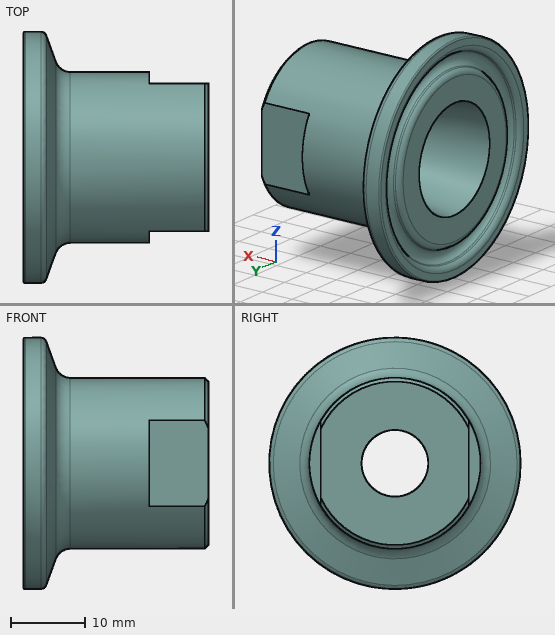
import cadquery as cq
import math

length = 25.0
flange_radius = 17.0
body_radius = 11.55
rim_corner_x = 2.9
slope_angle = 20.0
front_edge_radius = 0.2
rim_fillet = 0.8
neck_fillet = 2.0
end_chamfer = 0.5

flat_length = 8.0
flat_half_width = 10.0

bore_front_radius = 8.02
bore_end_radius = 4.5

groove_radius = 13.75
groove_half_width = 2.0
groove_depth = 1.6
lip_radius = 0.95
wall_angle = 70.0


def revolve_about_x(profile):
    return profile.close().revolve(360, (0, 0, 0), (1, 0, 0))


def make_body():
    neck_x = rim_corner_x + (flange_radius - body_radius) * math.tan(math.radians(slope_angle))
    profile = (
        cq.Workplane("XY")
        .lineTo(0, flange_radius)
        .lineTo(rim_corner_x, flange_radius)
        .lineTo(neck_x, body_radius)
        .lineTo(length, body_radius)
        .lineTo(length, 0)
    )
    body = revolve_about_x(profile)
    body = body.edges(cq.selectors.RadiusNthSelector(-1)).edges("<X").fillet(front_edge_radius)
    body = body.edges(cq.selectors.RadiusNthSelector(-1)).edges(">X").fillet(rim_fillet)
    body = body.edges(
        cq.selectors.BoxSelector((neck_x - 0.35, -flange_radius, -flange_radius),
                                 (neck_x + 0.35, flange_radius, flange_radius))
    ).edges("%CIRCLE").fillet(neck_fillet)
    return body.faces(">X").edges().chamfer(end_chamfer)


def make_groove():
    """Ring with rounded lips, straight walls and a circular floor, all tangent."""
    angle = math.radians(wall_angle)
    sine = math.sin(angle)
    cosine = math.cos(angle)
    radius_sum = (groove_half_width * sine - groove_depth * cosine) / (1 - cosine)
    floor_radius = radius_sum - lip_radius
    floor_x = groove_depth - floor_radius
    lip_offset = groove_half_width - lip_radius * sine
    lip_x = lip_radius * (1 - cosine)
    wall_offset = floor_radius * sine
    wall_x = floor_x + floor_radius * cosine
    mid_lip_offset = groove_half_width - lip_radius * math.sin(angle / 2)
    mid_lip_x = lip_radius * (1 - math.cos(angle / 2))
    profile = (
        cq.Workplane("XY")
        .moveTo(0, groove_radius - groove_half_width)
        .threePointArc((mid_lip_x, groove_radius - mid_lip_offset), (lip_x, groove_radius - lip_offset))
        .lineTo(wall_x, groove_radius - wall_offset)
        .threePointArc((groove_depth, groove_radius), (wall_x, groove_radius + wall_offset))
        .lineTo(lip_x, groove_radius + lip_offset)
        .threePointArc((mid_lip_x, groove_radius + mid_lip_offset), (0, groove_radius + groove_half_width))
    )
    return revolve_about_x(profile)


def make_bore():
    profile = (
        cq.Workplane("XY")
        .lineTo(0, bore_front_radius)
        .lineTo(length, bore_end_radius)
        .lineTo(length, 0)
    )
    return revolve_about_x(profile)


def make_flat_cutter(side):
    cut_depth = body_radius - flat_half_width
    return (
        cq.Workplane("XY")
        .box(flat_length, cut_depth, 2 * body_radius)
        .translate((length - flat_length / 2, side * (flat_half_width + cut_depth / 2), 0))
    )


result = make_body().cut(make_groove()).cut(make_bore())
for side in (-1, 1):
    result = result.cut(make_flat_cutter(side))